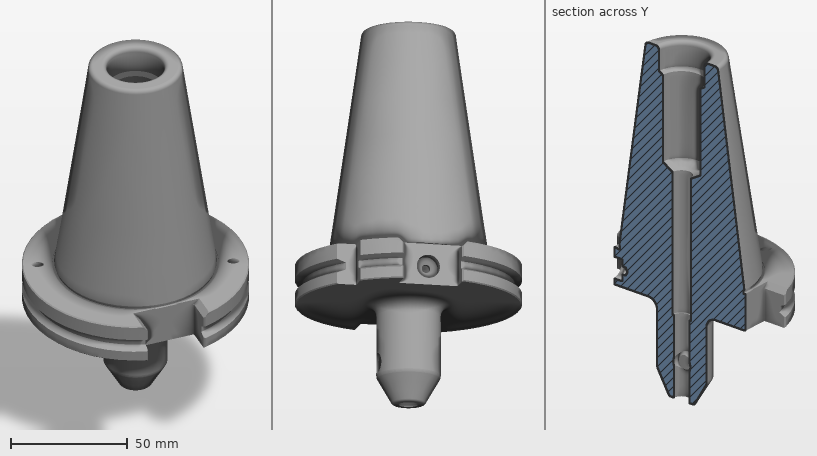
import cadquery as cq
import math


total_height = 164.6
taper_height = 101.7
nose_tip_z = taper_height - total_height

gauge_radius = 34.9
taper_slope = 7 / 48
taper_top_radius = gauge_radius - taper_height * taper_slope
taper_top_fillet = 2.0
neck_radius = 34.4

flange_radius = 48.7
flange_top_z = -1.2
flange_bottom_z = -19.1
flange_chamfer = 0.5
undercut_radius = 35.7
undercut_depth = 0.3
groove_z = -11.0
groove_radius = 45.6
groove_floor_width = 3.0
groove_mouth_width = 6.1

slot_half_width = 12.8
slot_floor_left = 37.5
slot_floor_right = 35.4
slot_corner_fillet = 0.7
slot_mouth_chamfer = 0.8
slot_top_chamfer = 2.5
cutter_overrun = 1.6

notch_offset = 30.0

chip_radius = 5.1
chip_depth = 4.6
chip_pilot_radius = 1.8
chip_pilot_depth = 1.6

coolant_circle_radius = 42.0
coolant_azimuth = 70.0
coolant_tilt = 45.0
coolant_radius = 1.8
coolant_length = 13.2

nose_radius = 13.8
nose_root_fillet = 4.8
cone_top_z = -51.0
cone_half_angle = 30.0
shoulder_fillet = 2.8
tip_fillet = 1.5

mouth_radius = 12.5
mouth_depth = 11.9
mouth_fillet = 2.0
mouth_floor_slope = 30.0
thread_radius = 10.4
thread_depth = 54.3
drill_point_angle = 118.0
passage_radius = 5.0
tool_bore_radius = 4.1
tool_bore_depth = 39.5

screw_radius = 4.6
screw_length = 9.9
screw_tip_y = 2.3
screw_z = -45.6
screw_tip_chamfer = 1.3


def revolve_profile(profile):
    """Turn a closed (radius, z) outline on the XZ plane about the Z axis."""
    return profile.close().revolve(360, (0, 0, 0), (0, 1, 0))


def circle_edge_at(z):
    """Select the full circular edge centred on the axis at height z."""
    return cq.selectors.NearestToPointSelector((0, 0, z))


def make_taper():
    profile = cq.Workplane("XZ").polyline([
        (0, flange_top_z - undercut_depth),
        (neck_radius, flange_top_z - undercut_depth),
        (neck_radius, 0),
        (gauge_radius, 0),
        (taper_top_radius, taper_height),
        (0, taper_height),
    ])
    return revolve_profile(profile).faces(">Z").edges().fillet(taper_top_fillet)


def make_flange():
    disc = (
        cq.Workplane("XY", origin=(0, 0, flange_bottom_z))
        .circle(flange_radius)
        .extrude(flange_top_z - flange_bottom_z)
        .edges()
        .chamfer(flange_chamfer)
    )
    groove = revolve_profile(cq.Workplane("XZ").polyline([
        (groove_radius, groove_z - groove_floor_width / 2),
        (flange_radius, groove_z - groove_mouth_width / 2),
        (flange_radius, groove_z + groove_mouth_width / 2),
        (groove_radius, groove_z + groove_floor_width / 2),
    ]))
    undercut = (
        cq.Workplane("XY", origin=(0, 0, flange_top_z - undercut_depth))
        .circle(undercut_radius)
        .extrude(undercut_depth)
    )
    return disc.cut(groove).cut(undercut)


def make_nose():
    root_radius = nose_radius + nose_root_fillet
    root_z = flange_bottom_z - nose_root_fillet
    arc_offset = nose_root_fillet * (1 - math.sqrt(0.5))
    tip_radius = nose_radius - (cone_top_z - nose_tip_z) * math.tan(math.radians(cone_half_angle))
    profile = (
        cq.Workplane("XZ")
        .moveTo(0, nose_tip_z)
        .lineTo(tip_radius, nose_tip_z)
        .lineTo(nose_radius, cone_top_z)
        .lineTo(nose_radius, root_z)
        .threePointArc(
            (nose_radius + arc_offset, flange_bottom_z - arc_offset),
            (root_radius, flange_bottom_z),
        )
        .lineTo(0, flange_bottom_z)
    )
    return (
        revolve_profile(profile)
        .edges(circle_edge_at(cone_top_z))
        .fillet(shoulder_fillet)
        .faces("<Z")
        .edges()
        .fillet(tip_fillet)
    )


def make_slot(floor_distance):
    """Cutter for a driving slot that opens toward +X."""
    outer_x = flange_radius + cutter_overrun
    mouth_x = math.sqrt(flange_radius**2 - slot_half_width**2) - slot_mouth_chamfer
    outer_half_width = slot_half_width + outer_x - mouth_x
    slot = (
        cq.Workplane("XY", origin=(0, 0, flange_bottom_z))
        .polyline([
            (floor_distance, -slot_half_width),
            (mouth_x, -slot_half_width),
            (outer_x, -outer_half_width),
            (outer_x, outer_half_width),
            (mouth_x, slot_half_width),
            (floor_distance, slot_half_width),
        ])
        .close()
        .extrude(flange_top_z - flange_bottom_z)
        .edges("|Z and <X")
        .fillet(slot_corner_fillet)
    )
    top_chamfer = (
        cq.Workplane("YZ", origin=(floor_distance, 0, 0))
        .polyline([
            (-slot_half_width, flange_top_z - slot_top_chamfer),
            (slot_half_width, flange_top_z - slot_top_chamfer),
            (slot_half_width + slot_top_chamfer, flange_top_z),
            (-slot_half_width - slot_top_chamfer, flange_top_z),
        ])
        .close()
        .extrude(outer_x - floor_distance)
    )
    return slot.union(top_chamfer)


def make_notch():
    """Cutter for the square notch on the (-X, +Y) side of the flange."""
    size = flange_radius - notch_offset
    return cq.Workplane("XY").box(
        size, size, flange_top_z - flange_bottom_z, centered=False
    ).translate((-flange_radius, notch_offset, flange_bottom_z))


def make_chip_pocket():
    """Cutter for the data chip pocket and its conical pilot."""
    floor_x = -slot_floor_left
    pilot_x = floor_x + chip_depth
    pilot_end_x = pilot_x + chip_pilot_depth
    cone_depth = chip_pilot_radius / math.tan(math.radians(drill_point_angle / 2))
    profile = cq.Workplane("XY").polyline([
        (floor_x, 0),
        (floor_x, chip_radius),
        (pilot_x, chip_radius),
        (pilot_x, chip_pilot_radius),
        (pilot_end_x, chip_pilot_radius),
        (pilot_end_x + cone_depth, 0),
    ]).close()
    return profile.revolve(360, (0, 0, 0), (1, 0, 0)).translate((0, 0, groove_z))


def make_coolant_hole(azimuth):
    """Cutter for a blind hole leaning inward; its upper half lies clear above the flange face."""
    hole = cq.Workplane("XY").circle(coolant_radius).extrude(2 * coolant_length)
    return (
        hole.translate((0, 0, -coolant_length))
        .rotate((0, 0, 0), (0, 1, 0), coolant_tilt)
        .translate((coolant_circle_radius, 0, flange_top_z))
        .rotate((0, 0, 0), (0, 0, 1), azimuth)
    )


def make_bore():
    """Cutter for the stepped bore along the whole axis."""
    mouth_z = taper_height - mouth_depth
    floor_drop = (mouth_radius - thread_radius) * math.tan(math.radians(mouth_floor_slope))
    thread_z = taper_height - thread_depth
    point_height = (thread_radius - passage_radius) / math.tan(math.radians(drill_point_angle / 2))
    tool_bore_top_z = nose_tip_z + tool_bore_depth
    return revolve_profile(cq.Workplane("XZ").polyline([
        (0, taper_height),
        (mouth_radius, taper_height),
        (mouth_radius, mouth_z),
        (thread_radius, mouth_z - floor_drop),
        (thread_radius, thread_z),
        (passage_radius, thread_z - point_height),
        (passage_radius, tool_bore_top_z),
        (tool_bore_radius, tool_bore_top_z),
        (tool_bore_radius, nose_tip_z),
        (0, nose_tip_z),
    ]))


def make_radial_cylinder(start_y, length):
    """Cylinder of the screw's diameter along +Y at the screw's height."""
    return (
        cq.Workplane("XZ", origin=(0, start_y, screw_z))
        .circle(screw_radius)
        .extrude(-length)
    )


def make_holder():
    holder = make_flange().union(make_taper()).union(make_nose())
    holder = holder.cut(make_slot(slot_floor_right))
    holder = holder.cut(make_slot(slot_floor_left).rotate((0, 0, 0), (0, 0, 1), 180))
    holder = holder.cut(make_notch()).cut(make_chip_pocket())
    for azimuth in (coolant_azimuth, coolant_azimuth + 180):
        holder = holder.cut(make_coolant_hole(azimuth))
    holder = holder.cut(make_bore())
    holder = holder.faces(">Z").edges(cq.selectors.RadiusNthSelector(0)).fillet(mouth_fillet)
    screw_hole = make_radial_cylinder(0, nose_radius)
    return holder.cut(screw_hole)


def make_clamp_screw():
    screw = make_radial_cylinder(screw_tip_y, screw_length)
    return screw.faces("<Y").chamfer(screw_tip_chamfer)


holder = make_holder()
clamp_screw = make_clamp_screw()

result = cq.Compound.makeCompound([holder.solids().val(), clamp_screw.val()])